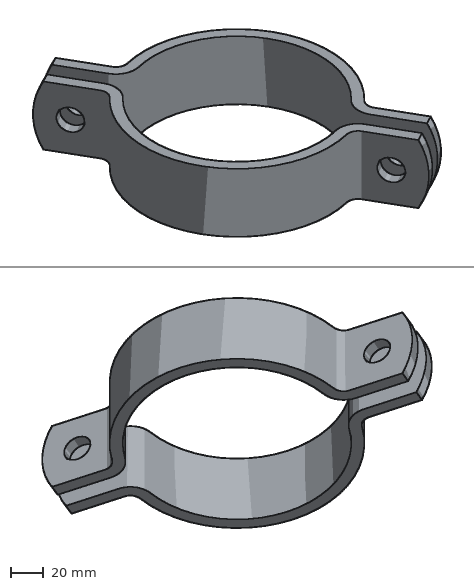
import cadquery as cq
import math

overall_length = 252.0
band_width = 50.0
ring_diameter = 156.0
thickness = 8.0
lug_gap = 11.3
bend_inner_radius = 8.0
lug_end_radius = 50.0
hole_diameter = 18.0
hole_spacing = 204.0

half_length = overall_length / 2
outer_radius = ring_diameter / 2
inner_radius = outer_radius - thickness
bend_outer_radius = bend_inner_radius + thickness
lug_inner_y = lug_gap / 2
lug_outer_y = lug_inner_y + thickness

bend_center_y = lug_inner_y + bend_outer_radius
bend_center_distance = outer_radius + bend_inner_radius
bend_center_x = math.sqrt(bend_center_distance**2 - bend_center_y**2)
ring_end_angle = math.atan2(bend_center_y, bend_center_x)
lug_end_angle = 3 * math.pi / 2


def ring_point(radius):
    """Right-hand end of a ring arc."""
    return radius * math.cos(ring_end_angle), radius * math.sin(ring_end_angle)


def bend_middle(radius):
    """Midpoint of a right-hand bend arc, between its lug and ring ends."""
    angle = (ring_end_angle + math.pi + lug_end_angle) / 2
    return bend_center_x + radius * math.cos(angle), bend_center_y + radius * math.sin(angle)


def mirrored(point):
    """The same point on the left-hand side."""
    return -point[0], point[1]


def bent_strip():
    """Half ring with a bend and a straight lug at each end, on the +Y side."""
    ring_outer = ring_point(outer_radius)
    ring_inner = ring_point(inner_radius)
    bend_inner = bend_middle(bend_inner_radius)
    bend_outer = bend_middle(bend_outer_radius)
    return (
        cq.Workplane("XY")
        .moveTo(half_length, lug_outer_y)
        .lineTo(bend_center_x, lug_outer_y)
        .threePointArc(bend_inner, ring_outer)
        .threePointArc((0, outer_radius), mirrored(ring_outer))
        .threePointArc(mirrored(bend_inner), (-bend_center_x, lug_outer_y))
        .lineTo(-half_length, lug_outer_y)
        .lineTo(-half_length, lug_inner_y)
        .lineTo(-bend_center_x, lug_inner_y)
        .threePointArc(mirrored(bend_outer), mirrored(ring_inner))
        .threePointArc((0, inner_radius), ring_inner)
        .threePointArc(bend_outer, (bend_center_x, lug_inner_y))
        .lineTo(half_length, lug_inner_y)
        .close()
        .extrude(band_width / 2, both=True)
    )


def rounded_end_envelope():
    """Block with arched ends that trims the lug tips."""
    half_width = band_width / 2
    arch_height = lug_end_radius - math.sqrt(lug_end_radius**2 - half_width**2)
    corner_x = half_length - arch_height
    return (
        cq.Workplane("XZ")
        .moveTo(-corner_x, -half_width)
        .lineTo(corner_x, -half_width)
        .threePointArc((half_length, 0), (corner_x, half_width))
        .lineTo(-corner_x, half_width)
        .threePointArc((-half_length, 0), (-corner_x, -half_width))
        .close()
        .extrude(ring_diameter, both=True)
    )


def bolt_holes():
    """Cutters for the bolt hole in each lug."""
    return (
        cq.Workplane("XZ")
        .pushPoints([(-hole_spacing / 2, 0), (hole_spacing / 2, 0)])
        .circle(hole_diameter / 2)
        .extrude(ring_diameter, both=True)
    )


def clamp_half(rotation):
    """One clamp half, turned about the ring axis."""
    half = bent_strip().intersect(rounded_end_envelope()).cut(bolt_holes())
    return half.rotate((0, 0, 0), (0, 0, 1), rotation)


clamp_halves = [clamp_half(rotation) for rotation in (0, 180)]
result = cq.Compound.makeCompound([half.val() for half in clamp_halves])